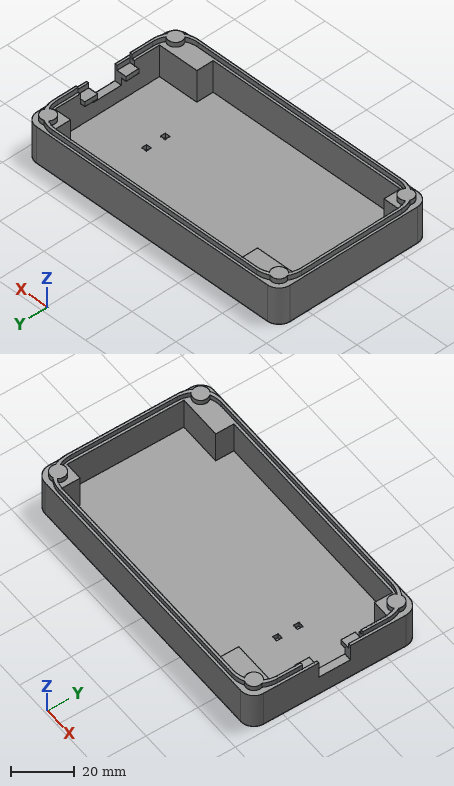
import cadquery as cq

length = 115.0
width = 65.0
total_height = 16.9
lip_height = 2.0
body_height = total_height - lip_height
corner_radius = 5.1

step = 1.0
wall = 3 * step
floor_thickness = 2.0
lip_corner_radius = 10.0

post_width = 10.0
long_post_length = 2 * post_width
short_post_length = post_width
peg_radius = 3.0

opening_width = 12.2
opening_bottom = 8.0
pad_width = 5.5
pad_reach = 5.1
pad_top = 12.9
pad_thickness = 2.0
pad_offset = (opening_width + pad_width) / 2

hole_size = 2.1
hole_x = 32.4
hole_spacing = 8.0


def block(x_range, y_range, z_range):
    """Axis-aligned box between the given limits."""
    (x0, x1), (y0, y1), (z0, z1) = x_range, y_range, z_range
    return cq.Workplane("XY").box(x1 - x0, y1 - y0, z1 - z0, centered=False).translate((x0, y0, z0))


def rounded_plate(inset, radius, bottom, height):
    """Rounded rectangle set in from the outer walls."""
    plate = cq.Workplane("XY", origin=(0, 0, bottom))
    plate = plate.rect(length - 2 * inset, width - 2 * inset).extrude(height)
    return plate.edges("|Z").fillet(radius)


def corner_post(x_side, y_side, post_length):
    """Post filling one corner of the cavity up to the top of the body."""
    size_x = post_length - wall
    size_y = post_width - wall
    x = x_side * (length / 2 - wall - size_x / 2)
    y = y_side * (width / 2 - wall - size_y / 2)
    post = cq.Workplane("XY", origin=(x, y, floor_thickness))
    return post.rect(size_x, size_y).extrude(body_height - floor_thickness)


tray = rounded_plate(0, corner_radius, 0, body_height)
cavity = (
    cq.Workplane("XY", origin=(0, 0, floor_thickness))
    .rect(length - 2 * wall, width - 2 * wall)
    .extrude(body_height)
)
tray = tray.cut(cavity)

for x_side in (-1, 1):
    for y_side in (-1, 1):
        post_length = short_post_length if x_side == y_side else long_post_length
        tray = tray.union(corner_post(x_side, y_side, post_length))

lip_outside = rounded_plate(step, lip_corner_radius, body_height, lip_height)
lip_inside = rounded_plate(2 * step, lip_corner_radius, body_height, lip_height)
tray = tray.union(lip_outside.cut(lip_inside))

pegs = (
    cq.Workplane("XY", origin=(0, 0, body_height))
    .rect(length - 2 * corner_radius, width - 2 * corner_radius, forConstruction=True)
    .vertices()
    .circle(peg_radius)
    .extrude(lip_height)
)
tray = tray.union(pegs)

outer_x = length / 2
for side in (-1, 1):
    pad_x = (outer_x - pad_reach, outer_x - step)
    pad_y = (side * pad_offset - pad_width / 2, side * pad_offset + pad_width / 2)
    tray = tray.cut(block(pad_x, pad_y, (pad_top, total_height)))
    tray = tray.union(block(pad_x, pad_y, (pad_top - pad_thickness, pad_top)))

opening = block(
    (outer_x - wall, outer_x),
    (-opening_width / 2, opening_width / 2),
    (opening_bottom, total_height),
)
tray = tray.cut(opening)

holes = (
    cq.Workplane("XY")
    .pushPoints([(hole_x, -hole_spacing / 2), (hole_x, hole_spacing / 2)])
    .rect(hole_size, hole_size)
    .extrude(floor_thickness)
)
result = tray.cut(holes)